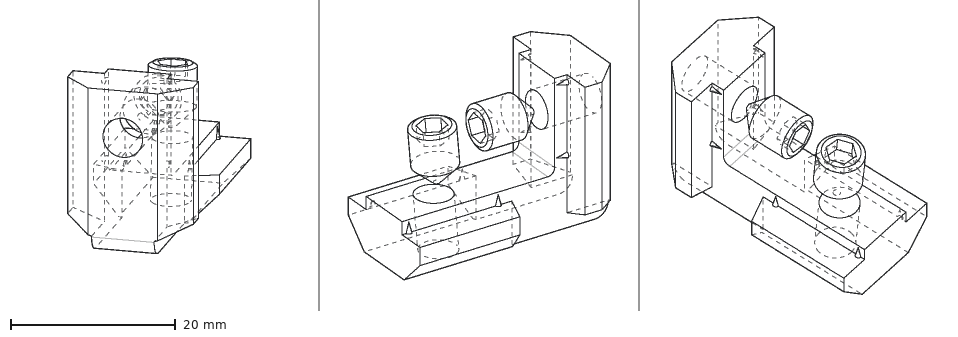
import cadquery as cq
import math

ARM_LENGTH = 30.0
BRACKET_HEIGHT = 21.0
NECK_WIDTH = 7.9
ARM_THICKNESS = 7.8
INNER_RADIUS = 1.0
OUTER_RADIUS = 1.98

FLANGE_WIDTH = 15.8
FLANGE_DEPTH = 6.0
FLANGE_BEVEL = 3.5
LOWER_FLANGE_LENGTH = 14.52
UPRIGHT_FLANGE_LENGTH = 17.5
FLANGE_END_ANGLE = 20.0
FLANGE_OVERHANG = (FLANGE_WIDTH - NECK_WIDTH) / 2
END_RUN = FLANGE_OVERHANG * math.tan(math.radians(FLANGE_END_ANGLE))

SPIKE_RADIUS = 0.4
SPIKE_HEIGHT = 1.5
SPIKE_END_GAP = 1.0
LOWER_SPIKE_PITCH = 13.0
UPRIGHT_SPIKE_PITCH = 10.0

SCREW_RADIUS = 3.0
SCREW_LENGTH = 8.0
TIP_RADIUS = 0.45
CONE_HEIGHT = SCREW_RADIUS - TIP_RADIUS
HEAD_RADIUS = 2.43
HEAD_CHAMFER_HEIGHT = 0.35
SOCKET_DIAMETER = 3.87
SOCKET_DEPTH = 1.98
SOCKET_TURN = -7.5

HOLE_RADIUS = 2.5
HOLE_REACH = 12.0
AXIS_HEIGHT = 15.0
TILT = math.radians(5.0)
LOWER_AXIS = (0, math.sin(TILT), math.cos(TILT))
LOWER_SCREW_TIP = (0, 22.35, 9.3)
LOWER_HOLE_Y = 22.8
UPRIGHT_SCREW_TIP = (0, 8.5, AXIS_HEIGHT)

LOWER_SCREW_PLANE = cq.Plane(LOWER_SCREW_TIP, xDir=(1, 0, 0), normal=LOWER_AXIS)
UPRIGHT_SCREW_PLANE = cq.Plane(UPRIGHT_SCREW_TIP, xDir=(-1, 0, 0), normal=(0, 1, 0))

LOWER_HOLE_PLANE = cq.Plane((0, LOWER_HOLE_Y, ARM_THICKNESS), xDir=(1, 0, 0), normal=LOWER_AXIS)
UPRIGHT_HOLE_PLANE = cq.Plane((0, ARM_THICKNESS, AXIS_HEIGHT), xDir=(-1, 0, 0), normal=(0, 1, 0))

LOWER_ARM_PLANE = cq.Plane((0, ARM_LENGTH, 0), xDir=(1, 0, 0), normal=(0, -1, 0))
UPRIGHT_ARM_PLANE = cq.Plane((0, 0, BRACKET_HEIGHT), xDir=(-1, 0, 0), normal=(0, 0, -1))


def make_core():
    """L-shaped core, rounded inside and outside the corner."""
    core = (
        cq.Workplane("YZ")
        .moveTo(0, 0)
        .lineTo(ARM_LENGTH, 0)
        .lineTo(ARM_LENGTH, ARM_THICKNESS)
        .lineTo(ARM_THICKNESS, ARM_THICKNESS)
        .lineTo(ARM_THICKNESS, BRACKET_HEIGHT)
        .lineTo(0, BRACKET_HEIGHT)
        .close()
        .extrude(NECK_WIDTH / 2, both=True)
    )
    inner_corner = cq.selectors.NearestToPointSelector((0, ARM_THICKNESS, ARM_THICKNESS))
    outer_corner = cq.selectors.NearestToPointSelector((0, 0, 0))
    core = core.edges("|X").edges(inner_corner).fillet(INNER_RADIUS)
    return core.edges("|X").edges(outer_corner).fillet(OUTER_RADIUS)


def make_flange(plane, length):
    """Pair of flanges: the bevelled section trimmed to the sloped ends."""
    half_width = FLANGE_WIDTH / 2
    bottom_half_width = half_width - FLANGE_BEVEL
    full_length = length + END_RUN
    section = (
        cq.Workplane(plane)
        .polyline([
            (-bottom_half_width, 0),
            (bottom_half_width, 0),
            (half_width, FLANGE_BEVEL),
            (half_width, FLANGE_DEPTH),
            (-half_width, FLANGE_DEPTH),
            (-half_width, FLANGE_BEVEL),
        ])
        .close()
        .extrude(full_length)
    )
    outline_plane = cq.Plane(plane.origin, xDir=plane.xDir, normal=plane.yDir)
    outline = (
        cq.Workplane(outline_plane)
        .polyline([
            (-half_width, 0),
            (half_width, 0),
            (half_width, -length),
            (NECK_WIDTH / 2, -full_length),
            (-NECK_WIDTH / 2, -full_length),
            (-half_width, -length),
        ])
        .close()
        .extrude(FLANGE_DEPTH)
    )
    return section.intersect(outline)


def make_spikes(plane, pitch):
    """Four pointed cones standing on the ledges, centred on the sides of the core."""
    spikes = []
    for side in (-1, 1):
        for distance in (SPIKE_END_GAP, SPIKE_END_GAP + pitch):
            base = plane.toWorldCoords((side * NECK_WIDTH / 2, FLANGE_DEPTH, distance))
            spikes.append(cq.Solid.makeCone(SPIKE_RADIUS, 0, SPIKE_HEIGHT, base, plane.yDir))
    return spikes


def make_hole_cutter(plane):
    """Round cutter reaching both ways from the inner face of the arm."""
    return (
        cq.Workplane(plane)
        .workplane(offset=-HOLE_REACH)
        .circle(HOLE_RADIUS)
        .extrude(2 * HOLE_REACH)
    )


def make_bracket():
    bracket = make_core()
    arms = (
        (LOWER_ARM_PLANE, LOWER_FLANGE_LENGTH, LOWER_SPIKE_PITCH),
        (UPRIGHT_ARM_PLANE, UPRIGHT_FLANGE_LENGTH, UPRIGHT_SPIKE_PITCH),
    )
    for plane, flange_length, spike_pitch in arms:
        bracket = bracket.union(make_flange(plane, flange_length))
        for spike in make_spikes(plane, spike_pitch):
            bracket = bracket.union(cq.Workplane(spike))
    for hole_plane in (LOWER_HOLE_PLANE, UPRIGHT_HOLE_PLANE):
        bracket = bracket.cut(make_hole_cutter(hole_plane))
    return bracket


def make_set_screw(plane):
    """Cone-point set screw with a hexagon socket, tip at the plane origin."""
    body = (
        cq.Workplane("XZ")
        .polyline([
            (0, 0),
            (TIP_RADIUS, 0),
            (SCREW_RADIUS, CONE_HEIGHT),
            (SCREW_RADIUS, SCREW_LENGTH - HEAD_CHAMFER_HEIGHT),
            (HEAD_RADIUS, SCREW_LENGTH),
            (0, SCREW_LENGTH),
        ])
        .close()
        .revolve(360, (0, 0, 0), (0, 1, 0))
    )
    socket = (
        cq.Workplane("XY", origin=(0, 0, SCREW_LENGTH))
        .transformed(rotate=(0, 0, SOCKET_TURN))
        .polygon(6, SOCKET_DIAMETER)
        .extrude(-SOCKET_DEPTH)
    )
    return body.cut(socket).val().moved(cq.Location(plane))


bracket = make_bracket()
set_screws = [make_set_screw(plane) for plane in (LOWER_SCREW_PLANE, UPRIGHT_SCREW_PLANE)]

result = cq.Compound.makeCompound([bracket.val(), *set_screws])